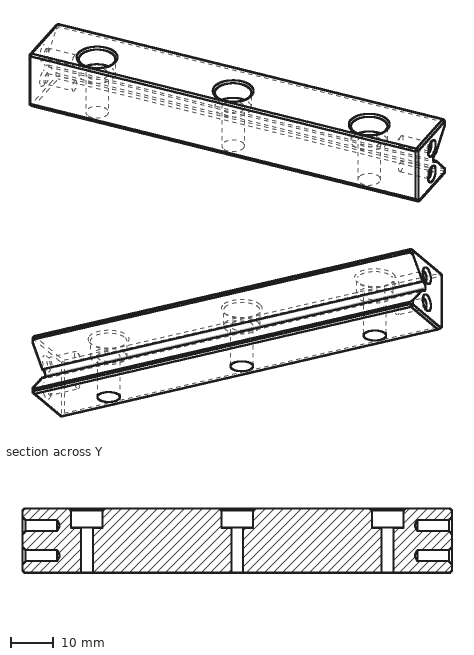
import cadquery as cq
import math

length = 100.0
width = 15.5
height = 15.0
mid_height = height / 2

edge_chamfer = 0.5
lower_edge_chamfer = 1.5

lip_height = 1.1
slot_width = 2.15
slot_floor_y = 8.75
slot_corner_radius = 0.95

hole_pitch = 35.0
hole_count = 3
hole_y = 5.5
hole_diameter = 5.25
counterbore_diameter = 8.5
counterbore_depth = 4.5
counterbore_chamfer = 0.5

end_hole_y = 8.0
end_hole_spacing = 7.0
end_hole_diameter = 2.5
end_hole_depth = 8.0
countersink_diameter = 4.0
drill_point_angle = math.radians(118.0)


def make_bar():
    """Rectangular bar with all edges chamfered, then a larger flat cut along the lower -Y edge."""
    bar = cq.Workplane("XY").box(length, width, height, centered=False)
    bar = bar.edges().chamfer(edge_chamfer)
    lower_edge = (
        cq.Workplane("YZ")
        .lineTo(lower_edge_chamfer, 0)
        .lineTo(0, lower_edge_chamfer)
        .close()
        .extrude(length)
    )
    return bar.cut(lower_edge)


def make_groove():
    """V-shaped channel with a round-cornered slot at its root."""
    mouth_half_width = mid_height - lip_height
    slot_half_width = slot_width / 2
    root_y = width - (mouth_half_width - slot_half_width)
    vee = (
        cq.Workplane("YZ")
        .moveTo(width, mid_height - mouth_half_width)
        .lineTo(width, mid_height + mouth_half_width)
        .lineTo(root_y, mid_height + slot_half_width)
        .lineTo(root_y, mid_height - slot_half_width)
        .close()
        .extrude(length)
    )
    slot = (
        cq.Workplane("YZ")
        .moveTo(slot_floor_y, mid_height - slot_half_width)
        .lineTo(width, mid_height - slot_half_width)
        .lineTo(width, mid_height + slot_half_width)
        .lineTo(slot_floor_y, mid_height + slot_half_width)
        .close()
        .extrude(length)
        .edges("|X and <Y")
        .fillet(slot_corner_radius)
    )
    return vee.union(slot)


def make_mounting_hole(x):
    """Stepped cutter, revolved about its vertical axis: through hole, counterbore and chamfered rim."""
    hole_radius = hole_diameter / 2
    counterbore_radius = counterbore_diameter / 2
    rim_radius = counterbore_radius + counterbore_chamfer
    seat_z = height - counterbore_depth
    return (
        cq.Workplane("XZ")
        .lineTo(hole_radius, 0)
        .lineTo(hole_radius, seat_z)
        .lineTo(counterbore_radius, seat_z)
        .lineTo(counterbore_radius, height - counterbore_chamfer)
        .lineTo(rim_radius, height)
        .lineTo(0, height)
        .close()
        .revolve(360, (0, 0), (0, 1))
        .translate((x, hole_y, 0))
    )


def make_end_hole(z):
    """Countersunk drilled hole with a conical bottom, entering the -X end face."""
    radius = end_hole_diameter / 2
    countersink_radius = countersink_diameter / 2
    countersink_depth = countersink_radius - radius
    point_length = radius / math.tan(drill_point_angle / 2)
    return (
        cq.Workplane("XY")
        .lineTo(0, countersink_radius)
        .lineTo(countersink_depth, radius)
        .lineTo(end_hole_depth, radius)
        .lineTo(end_hole_depth + point_length, 0)
        .close()
        .revolve(360, (0, 0), (1, 0))
        .translate((0, end_hole_y, z))
    )


result = make_bar().cut(make_groove())

first_hole_x = (length - (hole_count - 1) * hole_pitch) / 2
for index in range(hole_count):
    result = result.cut(make_mounting_hole(first_hole_x + index * hole_pitch))

for side in (-1, 1):
    near_end_hole = make_end_hole(mid_height + side * end_hole_spacing / 2)
    far_end_hole = near_end_hole.mirror("YZ", (length / 2, 0, 0))
    result = result.cut(near_end_hole).cut(far_end_hole)